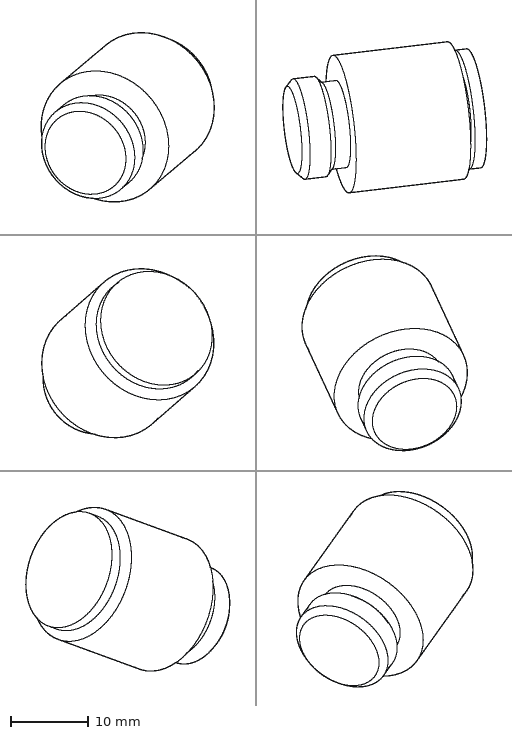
import cadquery as cq

body_diameter = 18.0
plug_diameter = 13.15
plug_neck_diameter = 11.4
flange_neck_diameter = 10.95
flange_diameter = 15.6

total_length = 24.1
plug_chamfer = (plug_diameter - plug_neck_diameter) / 2
plug_land_length = 2.8
plug_shoulder_length = 0.8
plug_neck_length = 2.0
body_length = 15.23
flange_length = 1.55

land_start = plug_chamfer
land_end = land_start + plug_land_length
shoulder_end = land_end + plug_shoulder_length
body_start = shoulder_end + plug_neck_length
body_end = body_start + body_length
flange_start = total_length - flange_length

profile = [
    (0, 0),
    (plug_neck_diameter / 2, 0),
    (plug_diameter / 2, land_start),
    (plug_diameter / 2, land_end),
    (plug_neck_diameter / 2, shoulder_end),
    (plug_neck_diameter / 2, body_start),
    (body_diameter / 2, body_start),
    (body_diameter / 2, body_end),
    (flange_neck_diameter / 2, body_end),
    (flange_neck_diameter / 2, flange_start),
    (flange_diameter / 2, flange_start),
    (flange_diameter / 2, total_length),
    (0, total_length),
]

result = cq.Workplane("XY").polyline(profile).close().revolve(360, (0, 0, 0), (0, 1, 0))